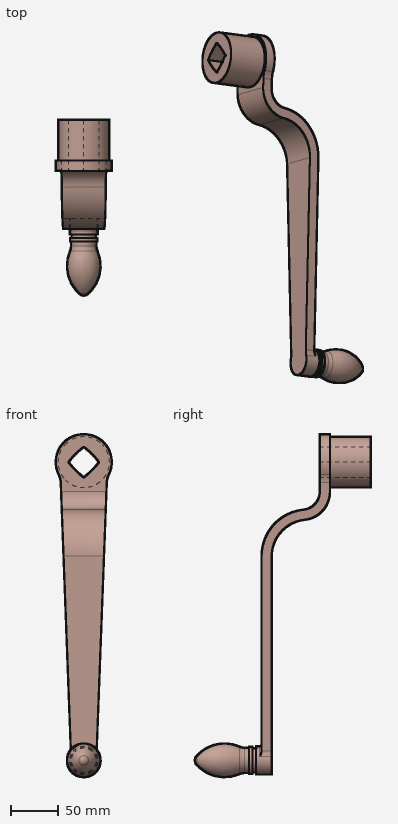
import cadquery as cq
import math


head_radius = 29.7
socket_diameter = 54.0
socket_length = 43.0
square_half_diagonal = 16.0
square_side_bulge = 0.8

arm_thickness = 11.0
arm_length = 315.0
arm_offset = 61.5
bend_start_depth = 31.2
upper_bend_radius = 19.0
lower_bend_radius = 49.5
half_width_at_head = 25.25
half_width_at_handle = 13.4
outline_fillet = 20.0
corner_margin = 1.0

boss_radius = 15.0
boss_end = 5.5
boss_fillet = 1.8
groove_radius = 13.0
collar_start = 9.3
collar_end = 13.2
collar_radius = 14.6
neck_end = 18.1
grip_start = 23.1
grip_widest = 39.0
grip_radius = 18.0
grip_arc_radius = 39.0
grip_end = 68.1
handle_length = 70.45

head_front = -arm_thickness
lower_front = head_front - arm_offset
lower_back = lower_front + arm_thickness
handle_z = -arm_length


def forward_cylinder(radius, y_back, y_front, z):
    """Cylinder along Y from y_back forward to y_front."""
    plane = cq.Workplane("XZ", origin=(0, y_back, z))
    return plane.circle(radius).extrude(y_back - y_front)


def make_planform(y_front):
    """Head disc, tapered arm and rounded end, blended together, from y = 0 to y_front."""
    taper = (
        cq.Workplane("XZ")
        .polyline([
            (-half_width_at_head, 0),
            (half_width_at_head, 0),
            (half_width_at_handle, handle_z),
            (-half_width_at_handle, handle_z),
        ])
        .close()
        .extrude(-y_front)
    )
    planform = (
        taper
        .union(forward_cylinder(head_radius, 0, y_front, 0))
        .union(forward_cylinder(boss_radius, 0, y_front, handle_z))
    )
    between_centres = cq.selectors.BoxSelector(
        (-head_radius, y_front, handle_z + corner_margin),
        (head_radius, 0, -corner_margin),
    )
    corners = planform.edges("|Y").edges(between_centres)
    return corners.fillet(outline_fillet)


def make_side_strip():
    """Double-bent strip of constant thickness, wide enough to cover the planform."""
    radius_sum = upper_bend_radius + lower_bend_radius
    bend_turn = math.acos((radius_sum - arm_offset) / radius_sum)
    upper_y = head_front - upper_bend_radius
    upper_z = -bend_start_depth
    lower_y = lower_front + lower_bend_radius
    lower_z = upper_z - radius_sum * math.sin(bend_turn)

    def upper_point(radius, angle):
        return (upper_y + radius * math.cos(angle), upper_z - radius * math.sin(angle))

    def lower_point(radius, angle):
        return (lower_y - radius * math.cos(angle), lower_z + radius * math.sin(angle))

    upper_outer = upper_bend_radius + arm_thickness
    lower_inner = lower_bend_radius - arm_thickness
    half_turn = bend_turn / 2
    profile = (
        cq.Workplane("YZ", origin=(-head_radius, 0, 0))
        .moveTo(head_front, head_radius)
        .lineTo(head_front, upper_z)
        .threePointArc(upper_point(upper_bend_radius, half_turn), upper_point(upper_bend_radius, bend_turn))
        .threePointArc(lower_point(lower_bend_radius, half_turn), (lower_front, lower_z))
        .lineTo(lower_front, handle_z - boss_radius)
        .lineTo(lower_back, handle_z - boss_radius)
        .lineTo(lower_back, lower_z)
        .threePointArc(lower_point(lower_inner, half_turn), lower_point(lower_inner, bend_turn))
        .threePointArc(upper_point(upper_outer, half_turn), (0, upper_z))
        .lineTo(0, head_radius)
        .close()
    )
    return profile.extrude(2 * head_radius)


def revolve_about_handle(profile):
    """Revolve a (radius, forward) profile about the handle axis."""
    return profile.close().revolve(360, (0, 0, 0), (0, 1, 0))


def handle_plane():
    """Plane with local x as the radius and local y pointing forward along the handle axis."""
    return cq.Workplane(cq.Plane((0, lower_front, handle_z), xDir=(0, 0, 1), normal=(1, 0, 0)))


def make_boss_flare():
    """Concave flare that blends the boss into the front face of the arm."""
    flare_radius = boss_radius + boss_fillet
    diagonal = boss_fillet * (1 - math.sqrt(0.5))
    profile = (
        handle_plane()
        .moveTo(0, 0)
        .lineTo(flare_radius, 0)
        .threePointArc((boss_radius + diagonal, diagonal), (boss_radius, boss_fillet))
        .lineTo(0, boss_fillet)
    )
    return revolve_about_handle(profile)


def make_handle():
    """Boss, groove, collar, neck and bulging grip with a domed tip."""
    arc_centre = grip_radius - grip_arc_radius

    def grip_radius_at(forward):
        return arc_centre + math.sqrt(grip_arc_radius**2 - (forward - grip_widest) ** 2)

    flare_angle = math.asin((grip_widest - grip_start) / grip_arc_radius)
    flare_arc_radius = (grip_start - neck_end) / math.sin(flare_angle)
    neck_radius = grip_radius_at(grip_start) - flare_arc_radius * (1 - math.cos(flare_angle))
    flare_middle = (
        neck_radius + flare_arc_radius * (1 - math.cos(flare_angle / 2)),
        neck_end + flare_arc_radius * math.sin(flare_angle / 2),
    )

    tip_radius = grip_radius_at(grip_end)
    dome_height = handle_length - grip_end
    dome_radius = (tip_radius**2 + dome_height**2) / (2 * dome_height)
    dome_half_angle = math.asin(tip_radius / dome_radius) / 2
    dome_middle = (
        dome_radius * math.sin(dome_half_angle),
        handle_length - dome_radius * (1 - math.cos(dome_half_angle)),
    )

    profile = (
        handle_plane()
        .moveTo(0, -arm_thickness)
        .lineTo(boss_radius, -arm_thickness)
        .lineTo(boss_radius, boss_end)
        .lineTo(groove_radius, boss_end)
        .lineTo(groove_radius, collar_start)
        .lineTo(collar_radius, collar_start)
        .lineTo(collar_radius, collar_end)
        .lineTo(neck_radius, collar_end)
        .lineTo(neck_radius, neck_end)
        .threePointArc(flare_middle, (grip_radius_at(grip_start), grip_start))
        .threePointArc((grip_radius, grip_widest), (tip_radius, grip_end))
        .threePointArc(dome_middle, (0, handle_length))
    )
    return revolve_about_handle(profile)


def make_square_hole():
    """Drive hole with bulging sides, corners up and sideways, through the head and socket."""
    side_middle = square_half_diagonal / 2 + square_side_bulge * math.sqrt(0.5)
    outline = (
        cq.Workplane("XZ", origin=(0, socket_length, 0))
        .moveTo(square_half_diagonal, 0)
        .threePointArc((side_middle, side_middle), (0, square_half_diagonal))
        .threePointArc((-side_middle, side_middle), (-square_half_diagonal, 0))
        .threePointArc((-side_middle, -side_middle), (0, -square_half_diagonal))
        .threePointArc((side_middle, -side_middle), (square_half_diagonal, 0))
        .close()
    )
    return outline.extrude(socket_length + arm_thickness)


planform = make_planform(lower_front - boss_fillet)
arm = planform.intersect(make_side_strip())
boss_flare = planform.intersect(make_boss_flare())
socket = forward_cylinder(socket_diameter / 2, socket_length, 0, 0)

result = arm.union(socket).union(boss_flare).union(make_handle()).cut(make_square_hole())